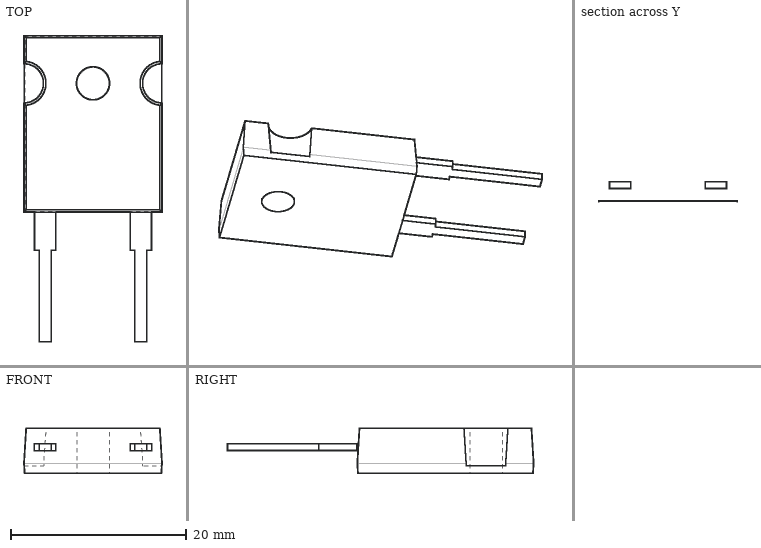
import cadquery as cq
import math

total_length = 34.95
housing_width = 15.75
housing_length = 20.13
housing_height = 5.15
base_height = 1.15
top_inset = 0.25

hole_diameter = 3.75
hole_from_back = 5.45
notch_top_radius = 2.5
notch_floor_radius = 2.25
notch_floor_height = 0.85

lead_spacing = 10.9
lead_thickness = 0.8
lead_bottom = 2.6
shoulder_width = 2.45
shoulder_length = 4.37
tail_width = 1.4

lead_length = total_length - housing_length
hole_y = housing_length - hole_from_back
upper_height = housing_height - base_height
draft_angle = math.degrees(math.atan(top_inset / upper_height))


def make_side_notch(side):
    """Conical cutter centred on one side edge, narrowing towards its floor."""
    notch = cq.Solid.makeCone(
        notch_floor_radius,
        notch_top_radius,
        housing_height - notch_floor_height,
        pnt=cq.Vector(side * housing_width / 2, hole_y, notch_floor_height),
    )
    return cq.Workplane(obj=notch)


def make_housing():
    """Base and upper part, drafted away from the parting line, with the mounting hole and side notches."""
    base = (
        cq.Workplane(origin=(0, 0, base_height))
        .center(0, housing_length / 2)
        .rect(housing_width, housing_length)
        .extrude(-base_height, taper=draft_angle)
    )
    upper = (
        cq.Workplane(origin=(0, 0, base_height))
        .center(0, housing_length / 2)
        .rect(housing_width, housing_length)
        .extrude(upper_height, taper=draft_angle)
    )
    hole = (
        cq.Workplane()
        .center(0, hole_y)
        .circle(hole_diameter / 2)
        .extrude(housing_height)
    )
    body = base.union(upper).cut(hole)
    for side in (-1, 1):
        body = body.cut(make_side_notch(side))
    return body.solids()


def make_lead(x):
    """Flat stepped lead whose square inner end is in line with the parting line."""
    half_shoulder = shoulder_width / 2
    half_tail = tail_width / 2
    return (
        cq.Workplane(origin=(x, 0, lead_bottom))
        .moveTo(-half_shoulder, 0)
        .lineTo(-half_shoulder, -shoulder_length)
        .lineTo(-half_tail, -shoulder_length)
        .lineTo(-half_tail, -lead_length)
        .lineTo(half_tail, -lead_length)
        .lineTo(half_tail, -shoulder_length)
        .lineTo(half_shoulder, -shoulder_length)
        .lineTo(half_shoulder, 0)
        .close()
        .extrude(lead_thickness)
    )


housing = make_housing()
leads = [make_lead(side * lead_spacing / 2) for side in (-1, 1)]

result = cq.Compound.makeCompound([housing.val(), *[lead.val() for lead in leads]])